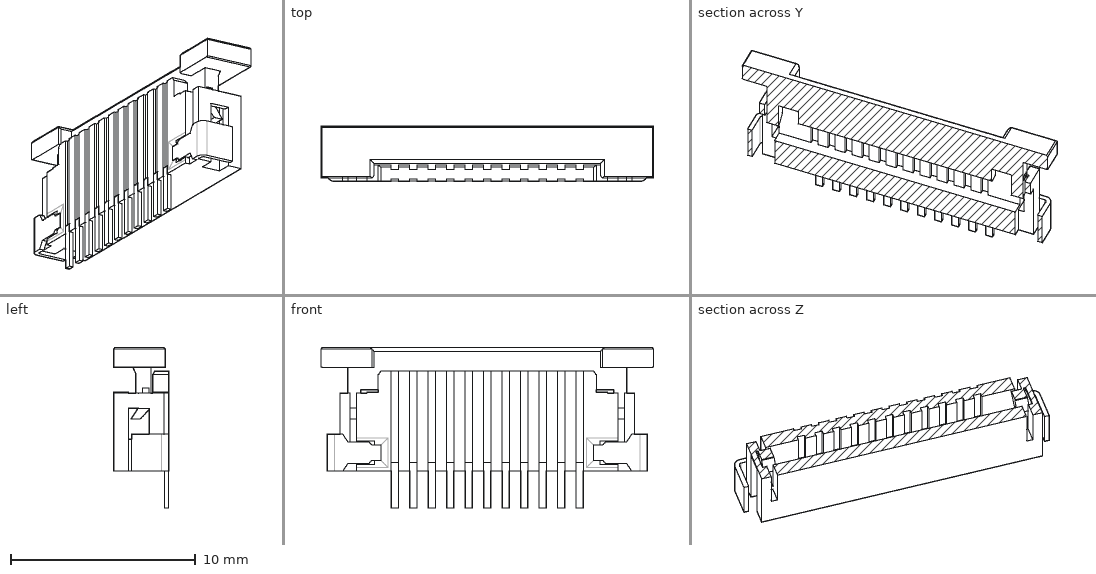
import cadquery as cq


pin_count = 11
pin_pitch = 1.0
pin_width = 0.4
pin_back = 0.25
pin_tail = 2.0
pin_top = 0.48
pin_recess = 0.02
groove_depth = 0.13
back_groove_depth = 0.22

part_depth = 3.0
body_half = 7.08
shoulder_height = 4.28
outer_shoulder_height = 4.22
shoulder_step_half = 6.51
wall_half = 5.9
wall_height = 5.42
wall_depth = 0.88
wall_end_chamfer = (0.15, 0.2)
wall_back_chamfer = (0.11, 0.2)
cavity_back = 2.18
cavity_floor = 1.73

ear_inner = 7.42
ear_outer = 7.98
ear_height = outer_shoulder_height
window_front = 1.08
window_height = 3.4
ear_slot_outer = 7.65
ear_slot_front = 0.97
bridge_height = 1.5

clip_thickness = 0.27
clip_outer = 8.67
clip_height = 2.0
clip_back = 2.02
clip_radius = 0.4
clip_tip = 5.76
clip_tip_shoulder = 6.24
clip_arm_end = 6.4
clip_arm_start = 7.54
clip_wide_end = 7.82
clip_arm_inset = 0.42
clip_tip_inset = 0.59

pocket_depth = clip_thickness
pocket_flare_depth = 0.05
pocket_tip = 5.36
pocket_wide_end = 6.09
pocket_inset = 0.2
pocket_wide_inset = 0.36

bar_half = 9.0
bar_bottom = 5.6
bar_top = 6.7
bar_front = 0.2
bar_chamfer = (0.07, 0.1)
bar_end_chamfer = (0.05, 0.09)
notch_half = 6.12
notch_chamfer = 0.22
notch_corner_chamfer = 0.11
stem_front = ear_slot_front
stem_back = 1.81
stem_half = 7.55
stem_bottom = 4.4
stem_flare = (0.14, 0.3)
tongue_half = 5.7
tongue_bottom = 3.5

arm_inner = 6.84
arm_back = 1.66
hook_top = 3.43
hook_bottom = 2.82
hook_tip_front = 1.56
hook_tip_back = 2.06
relief_depth = 0.1
relief_front = 1.07
relief_back = 1.43
relief_top = 4.5


def block(x0, x1, y0, y1, z0, z1):
    """Box between two opposite corners."""
    return cq.Workplane("XY").box(x1 - x0, y1 - y0, z1 - z0, centered=False).translate((x0, y0, z0))


def profile_x(points, x0, x1):
    """Closed (Y, Z) outline extruded along X."""
    return cq.Workplane("YZ").polyline(points).close().extrude(x1 - x0).translate((x0, 0, 0))


def profile_y(points, y0, y1):
    """Closed (X, Z) outline extruded along Y."""
    return cq.Workplane("XZ").polyline(points).close().extrude(y0 - y1).translate((0, y0, 0))


def both_sides(shape):
    """The shape joined with its mirror image across X = 0."""
    return shape.union(shape.mirror("YZ"))


def front_wall():
    """Raised front wall, bevelled at its two ends and along its back edge."""
    end_x, end_z = wall_end_chamfer
    back_y, back_z = wall_back_chamfer
    front = [
        (-wall_half, 0),
        (wall_half, 0),
        (wall_half, wall_height - end_z),
        (wall_half - end_x, wall_height),
        (end_x - wall_half, wall_height),
        (-wall_half, wall_height - end_z),
    ]
    side = [
        (0, 0),
        (wall_depth, 0),
        (wall_depth, wall_height - back_z),
        (wall_depth - back_y, wall_height),
        (0, wall_height),
    ]
    return profile_y(front, 0, wall_depth).intersect(profile_x(side, -wall_half, wall_half))


def clip_pocket():
    """Flared pocket on the right side of the housing front, opening into a stepped seat for the clip tip."""
    middle_z = clip_height / 2
    open_height = clip_height - 2 * pocket_inset
    floor_height = clip_height - 2 * clip_tip_inset
    open_length = body_half - pocket_tip
    floor_length = body_half - clip_tip
    flare = (
        cq.Workplane("XZ", origin=((body_half + pocket_tip) / 2, 0, middle_z))
        .rect(open_length, open_height)
        .workplane(offset=-pocket_flare_depth)
        .center((clip_tip - pocket_tip) / 2, 0)
        .rect(floor_length, floor_height)
        .loft(ruled=True)
    )
    arm_seat = block(
        pocket_wide_end, body_half, 0, pocket_depth, pocket_wide_inset, clip_height - pocket_wide_inset
    )
    tip_seat = block(clip_tip, body_half, 0, pocket_depth, clip_tip_inset, clip_height - clip_tip_inset)
    return flare.union(arm_seat).union(tip_seat)


def housing():
    """Two walls on a common floor, with ears joined by low bridges."""
    body = block(-shoulder_step_half, shoulder_step_half, 0, part_depth, 0, shoulder_height)
    body = body.union(block(-body_half, body_half, 0, part_depth, 0, outer_shoulder_height))
    body = body.union(front_wall())
    cavity = block(-body_half, body_half, wall_depth, cavity_back, cavity_floor, wall_height)
    body = body.cut(cavity).cut(both_sides(clip_pocket()))
    ear = block(ear_inner, ear_outer, clip_thickness, part_depth, 0, ear_height)
    bridge = block(body_half, ear_inner, clip_thickness, part_depth, 0, bridge_height)
    window = block(body_half, ear_outer, window_front, cavity_back, 0, window_height)
    arm_slot = block(ear_inner, ear_slot_outer, ear_slot_front, cavity_back, window_height, ear_height)
    return body.union(both_sides(ear.union(bridge).cut(window).cut(arm_slot)))


def clip():
    """Right solder clip: sheet bent around the corner, its front leg cut to a stepped tongue."""
    sheet = (
        block(clip_tip, clip_outer, 0, clip_back, 0, clip_height)
        .edges("|Z and >X and <Y")
        .fillet(clip_radius)
    )
    inside = (
        block(clip_tip, clip_outer - clip_thickness, clip_thickness, clip_back, 0, clip_height)
        .edges("|Z and >X and <Y")
        .fillet(clip_radius - clip_thickness)
    )
    lower = [
        (clip_outer, 0),
        (clip_wide_end, 0),
        (clip_arm_start, clip_arm_inset),
        (clip_arm_end, clip_arm_inset),
        (clip_tip_shoulder, clip_tip_inset),
        (clip_tip, clip_tip_inset),
    ]
    upper = [(x, clip_height - z) for x, z in reversed(lower)]
    return sheet.cut(inside).intersect(profile_y(lower + upper, 0, clip_back))


def latch_arm():
    """Right latch arm, hanging from the stem and ending in a hook that leans backwards."""
    outline = [
        (stem_front, stem_bottom),
        (stem_front, hook_top),
        (hook_tip_front, hook_bottom),
        (hook_tip_back, hook_bottom),
        (arm_back, hook_top),
        (arm_back, stem_bottom),
    ]
    arm = profile_x(outline, arm_inner, stem_half)
    seat = block(arm_inner, stem_half, stem_front, stem_back, ear_height, stem_bottom)
    return arm.union(seat)


def bar_notch():
    """Cut along the bar front, bevelled at its top edge and at its two front corners."""
    bevel_bottom = bar_top - notch_chamfer
    wide = notch_half + notch_chamfer
    mouth = notch_half + notch_corner_chamfer
    plan = [
        (-mouth, bar_front),
        (mouth, bar_front),
        (notch_half, bar_front + notch_corner_chamfer),
        (notch_half, stem_front),
        (-notch_half, stem_front),
        (-notch_half, bar_front + notch_corner_chamfer),
    ]
    bar_base = cq.Workplane("XY", origin=(0, 0, bar_bottom))
    notch = bar_base.polyline(plan).close().extrude(bar_top - bar_bottom)
    bevel = (
        cq.Workplane("XY", origin=(0, bar_front, bevel_bottom))
        .rect(2 * notch_half, 2 * (stem_front - bar_front))
        .workplane(offset=notch_chamfer)
        .rect(2 * wide, 2 * (stem_front - bar_front + notch_chamfer))
        .loft(ruled=True)
    )
    return notch.union(bevel)


def bevelled_outline(below, above):
    """Outline of the bar from -below to above, with both top corners bevelled."""
    inset, drop = bar_chamfer
    return [
        (-below, bar_bottom),
        (above, bar_bottom),
        (above, bar_top - drop),
        (above - inset, bar_top),
        (inset - below, bar_top),
        (-below, bar_top - drop),
    ]


def lock_bar():
    """Bar with its stem, tongue and latch arms."""
    bar = block(-bar_half, bar_half, bar_front, part_depth, bar_bottom, bar_top)
    bar = bar.intersect(profile_y(bevelled_outline(bar_half, bar_half), bar_front, part_depth))
    bar = bar.intersect(profile_x(bevelled_outline(-bar_front, part_depth), -bar_half, bar_half))
    end_x, end_z = bar_end_chamfer
    bar = bar.faces("<Z").edges("|Y").chamfer(end_z, end_x)
    flare_y, flare_z = stem_flare
    stem_side = [
        (stem_front, stem_bottom),
        (stem_back, stem_bottom),
        (stem_back, bar_bottom - flare_z),
        (stem_back + flare_y, bar_bottom),
        (stem_front, bar_bottom),
    ]
    bar = bar.cut(bar_notch()).union(profile_x(stem_side, -stem_half, stem_half))
    bar = bar.union(block(-tongue_half, tongue_half, stem_front, stem_back, tongue_bottom, stem_bottom))
    relief = block(
        stem_half - relief_depth, stem_half, relief_front, relief_back, ear_height, relief_top
    )
    return bar.union(both_sides(latch_arm())).cut(both_sides(relief))


def pin_positions():
    """X positions of the pins, evenly spaced about the middle."""
    return [(i - (pin_count - 1) / 2) * pin_pitch for i in range(pin_count)]


def add_pins(body):
    """Groove both faces of the front wall and set a pin in each front one."""
    for x in pin_positions():
        left = x - pin_width / 2
        right = x + pin_width / 2
        body = body.cut(block(left, right, 0, groove_depth, 0, wall_height))
        body = body.cut(
            block(left, right, wall_depth - back_groove_depth, wall_depth, cavity_floor, wall_height)
        )
        body = body.union(block(left, right, pin_recess, pin_back, -pin_tail, pin_top))
    return body


result = add_pins(housing()).union(both_sides(clip())).union(lock_bar())